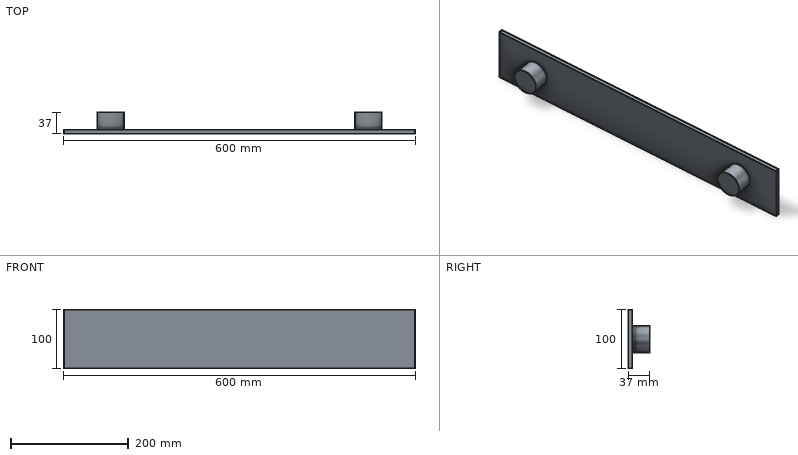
import cadquery as cq

plate_length = 600.0
plate_height = 100.0
plate_thickness = 7.0

total_depth = 37.0
standoff_diameter = 46.0
standoff_spacing = 440.5
standoff_length = total_depth - plate_thickness

plate = cq.Workplane("XY").box(
    plate_length, plate_thickness, plate_height, centered=(True, False, True)
)

standoffs = (
    plate.faces(">Y")
    .workplane(centerOption="CenterOfBoundBox")
    .pushPoints([(-standoff_spacing / 2, 0), (standoff_spacing / 2, 0)])
    .circle(standoff_diameter / 2)
    .extrude(standoff_length, combine=False)
)

result = plate.union(standoffs)